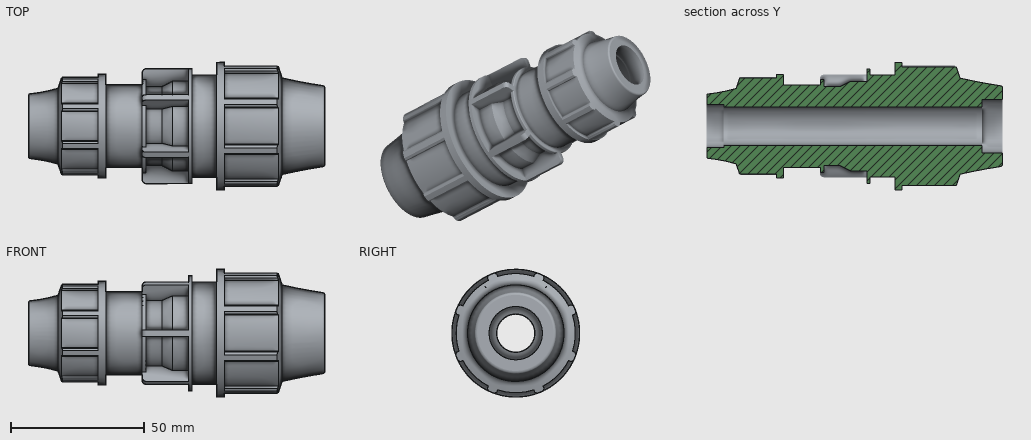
import cadquery as cq

TOTAL_LENGTH = 111.0

PASSAGE_RADIUS = 7.1
SMALL_SOCKET_RADIUS = 8.0
SMALL_SOCKET_DEPTH = 6.4
LARGE_SOCKET_RADIUS = 10.0
LARGE_SOCKET_DEPTH = 7.8

SHOULDER_SLOPE = 3.0
RIBS_PER_NUT = 8
RIB_SPACING = 360.0 / RIBS_PER_NUT

SMALL_NUT = dict(
    tip_radius=12.1, nose_mid_radius=12.9, nose_base_radius=14.2, nose_length=11.0, tip_round=0.7,
    flange_radius=39.0 / 2, flange_start=26.1, length=29.0,
    grip_radius=18.1, rib_width=1.9, flare_height=0.7,
)
LARGE_NUT = dict(
    tip_radius=15.1, nose_mid_radius=16.4, nose_base_radius=18.1, nose_length=16.0, tip_round=1.0,
    flange_radius=24.0, flange_start=37.6, length=40.5,
    grip_radius=22.3, rib_width=2.2, flare_height=0.8,
)

SMALL_BARREL_RADIUS = 31.2 / 2
LARGE_BARREL_RADIUS = 19.2
COLLAR_START = 42.5
COLLAR_WIDTH = 1.5
COLLAR_RADIUS = 17.5
COLLAR_ROUND = 0.3
NECK_RADIUS = 14.9
NECK_CONE_START = 50.0
NECK_CONE_END = 54.0
NECK_BASE_RADIUS = 16.9
DISC_START = 59.9
DISC_END = 61.3
DISC_RADIUS = 43.2 / 2

FIN_COUNT = 6
FIN_WIDTH = 2.3
FIN_CORNER_ROUND = 1.7


def cylinder(start, end, radius):
    return cq.Workplane("YZ", origin=(start, 0, 0)).circle(radius).extrude(end - start)


def grip_rib(nut, start, end):
    """Axial rib pointing along +Y: 45 degree flanks below the crest, then parallel flanks to the foot."""
    foot_radius = nut["grip_radius"] - nut["rib_width"]
    crest_radius = nut["flange_radius"]
    flare_radius = crest_radius - nut["flare_height"]
    top_radius = crest_radius + nut["rib_width"]
    crest_half = nut["rib_width"] / 2
    flare_half = crest_half + nut["flare_height"]
    return (
        cq.Workplane("YZ", origin=(start, 0, 0))
        .polyline([
            (foot_radius, -flare_half),
            (flare_radius, -flare_half),
            (crest_radius, -crest_half),
            (top_radius, -crest_half),
            (top_radius, crest_half),
            (crest_radius, crest_half),
            (flare_radius, flare_half),
            (foot_radius, flare_half),
        ])
        .close()
        .extrude(end - start)
    )


def clamping_nut(nut):
    """Nut with its pipe end at x = 0 and its flange toward +X."""
    nose_length = nut["nose_length"]
    shoulder_length = (nut["flange_radius"] - nut["nose_base_radius"]) / SHOULDER_SLOPE
    body = (
        cq.Workplane("XY")
        .moveTo(0, 0)
        .lineTo(0, nut["tip_radius"])
        .threePointArc((nose_length / 2, nut["nose_mid_radius"]), (nose_length, nut["nose_base_radius"]))
        .lineTo(nose_length + shoulder_length, nut["flange_radius"])
        .lineTo(nut["length"], nut["flange_radius"])
        .lineTo(nut["length"], 0)
        .close()
        .revolve(360, (0, 0, 0), (1, 0, 0))
        .faces("<X").edges().fillet(nut["tip_round"])
    )
    recess = cylinder(nose_length, nut["flange_start"], nut["flange_radius"] + nut["rib_width"])
    recess = recess.cut(cylinder(nose_length, nut["flange_start"], nut["grip_radius"]))
    rib = grip_rib(nut, nose_length, nut["flange_start"])
    for index in range(RIBS_PER_NUT):
        angle = (index + 0.5) * RIB_SPACING
        recess = recess.cut(rib.rotate((0, 0, 0), (1, 0, 0), angle))
    return body.cut(recess)


def central_body():
    collar_end = COLLAR_START + COLLAR_WIDTH
    collar = cylinder(COLLAR_START, collar_end, COLLAR_RADIUS).edges().fillet(COLLAR_ROUND)
    neck = (
        cq.Workplane("XY")
        .polyline([
            (COLLAR_START, 0),
            (COLLAR_START, NECK_RADIUS),
            (NECK_CONE_START, NECK_RADIUS),
            (NECK_CONE_END, NECK_BASE_RADIUS),
            (DISC_START, NECK_BASE_RADIUS),
            (DISC_START, 0),
        ])
        .close()
        .revolve(360, (0, 0, 0), (1, 0, 0))
    )
    small_barrel = cylinder(SMALL_NUT["length"], COLLAR_START, SMALL_BARREL_RADIUS)
    disc = cylinder(DISC_START, DISC_END, DISC_RADIUS)
    large_barrel = cylinder(DISC_END, TOTAL_LENGTH - LARGE_NUT["length"], LARGE_BARREL_RADIUS)
    return small_barrel.union(collar).union(neck).union(disc).union(large_barrel)


def neck_fins():
    """Radial fins from the collar to the disc, made as diametral plates through the axis."""
    envelope = cylinder(COLLAR_START, DISC_START, DISC_RADIUS).faces("<X").edges().fillet(FIN_CORNER_ROUND)
    plate = cq.Workplane("XY").box(
        DISC_START - COLLAR_START, 2 * DISC_RADIUS, FIN_WIDTH, centered=(False, True, True)
    ).translate((COLLAR_START, 0, 0))
    plates = plate
    for index in range(1, FIN_COUNT // 2):
        plates = plates.union(plate.rotate((0, 0, 0), (1, 0, 0), index * 360.0 / FIN_COUNT))
    return plates.intersect(envelope)


def pipe_passage():
    through_bore = cylinder(0, TOTAL_LENGTH, PASSAGE_RADIUS)
    small_socket = cylinder(0, SMALL_SOCKET_DEPTH, SMALL_SOCKET_RADIUS)
    large_socket = cylinder(TOTAL_LENGTH - LARGE_SOCKET_DEPTH, TOTAL_LENGTH, LARGE_SOCKET_RADIUS)
    return through_bore.union(small_socket).union(large_socket)


small_nut = clamping_nut(SMALL_NUT)
large_nut = clamping_nut(LARGE_NUT).rotate((0, 0, 0), (0, 0, 1), 180).translate((TOTAL_LENGTH, 0, 0))

result = (
    central_body()
    .union(neck_fins())
    .union(small_nut)
    .union(large_nut)
    .cut(pipe_passage())
)